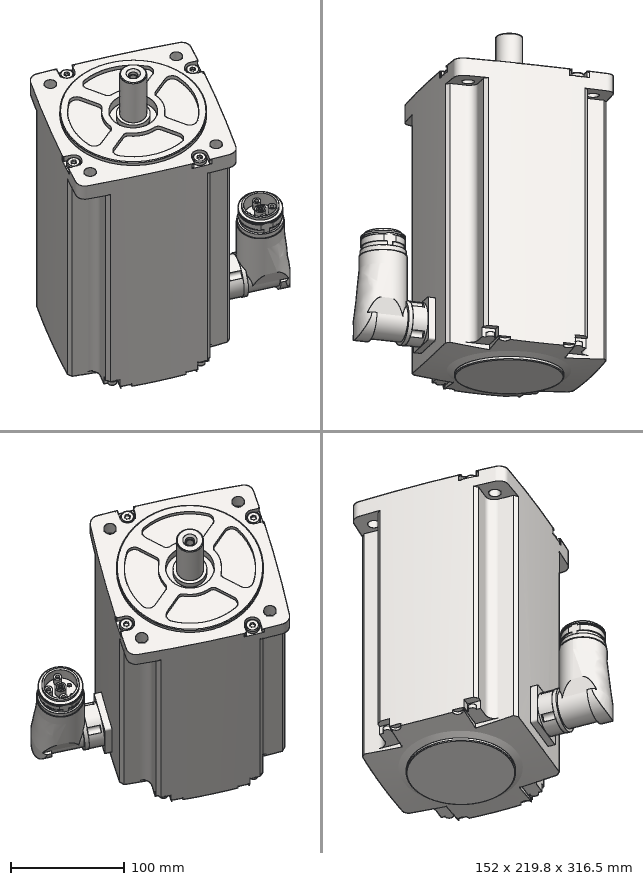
import cadquery as cq
import math


HALF_WIDTH = 76.0
CORNER_DROP = 1.7
CORNER_TANGENT = 65.5
FLANGE_THICKNESS = 16.3
BODY_BOTTOM = -255.7
PANEL_HALF = 45.0
NOTCH_WALL = 48.6
NOTCH_LIP = 72.0
NOTCH_RADIUS = 8.5

BOLT_CIRCLE = 165.0
BOLT_HOLE_DIA = 11.0

SCREW_OUT = 67.8
SCREW_ASIDE = 40.1
SCREW_HEAD_DIA = 12.6
SCREW_HEAD_TOP = -1.6
SCREW_HEAD_CHAMFER = 1.0
SCREW_SOCKET = 5.2
SCREW_SOCKET_DEPTH = 2.5
SCREW_POCKET_WIDTH = 14.4
SCREW_POCKET_DEPTH = 5.9
SCREW_RELIEF_WIDTH = 18.7
SCREW_RELIEF_DEPTH = 0.8
SCREW_RELIEF_TOP = -1.0

PILOT_DIA = 130.0
PILOT_HEIGHT = 4.0
PILOT_CHAMFER = 0.8
POCKET_OUTER_RADIUS = 58.0
POCKET_INNER_RADIUS = 28.0
POCKET_DEPTH = 4.0
POCKET_INNER_FILLET = 5.0
POCKET_OUTER_FILLET = 7.0
SPOKE_WIDTH = 12.6
SEAL_BORE_DIA = 43.0
SEAL_BORE_DEPTH = 9.0
COLLAR_DIA = 30.0
COLLAR_TOP = 1.0
SHAFT_DIA = 24.0
SHAFT_TOP = 50.0
SHAFT_CHAMFER = 0.8
CENTRE_SINK_DIA = 12.6
CENTRE_BORE_DIA = 8.4
CENTRE_BORE_DEPTH = 5.0
CENTRE_TAP_DIA = 6.65
CENTRE_TAP_DEPTH = 19.0

SHIELD_EDGE_Z = -258.6
CAP_RADIUS = 48.4
CAP_JOIN_Z = -263.6
SHIELD_KNEE_RADIUS = 55.0
SHIELD_KNEE_Z = -260.9
CAP_BOTTOM = -266.5
CAP_CHAMFER = 0.8
SHIELD_CUT_Y = 35.3
SHIELD_GROOVE_RADIUS = 5.0
SHIELD_GROOVE_Y = 30.0
TIE_POCKET_TOP = -247.2
TIE_POCKET_INNER_Y = 36.0
TIE_POCKET_DEPTH = 8.0
TIE_HEAD_DIA = 8.0
TIE_HEAD_Y = 41.0
TIE_HEAD_TOP = -251.6

CONNECTOR_Z = -227.0
CONNECTOR_BASE = 40.3
BASE_CORNER_RADIUS = 2.0
BASE_FACE_Y = 82.5
NUT_DIA = 39.6
NUT_COLLAR_DIA = 40.3
NUT_GROOVE_DIA = 7.0
NUT_GROOVE_START_Y = 84.5
COLLAR_START_Y = 96.5
COLLAR_END_Y = 100.5
PLUG_Y = 117.8
CONNECTOR_BACK_Y = 143.8
BARREL_RADIUS = 21.4
BARREL_TOP = -167.6
TAPER_TOP = -180.5
BACK_ROUND_Y = 131.0
LEG_RADIUS = 17.3
SHOULDER_Z = -212.7
HEEL_RADIUS = 20.2
HEEL_START_Y = 130.5
PLUG_RINGS = [
    (20.6, -167.6, -162.9),
    (18.8, -162.9, -158.8),
    (19.8, -158.8, -152.4),
    (19.2, -152.4, -150.8),
    (19.8, -150.8, -149.3),
    (16.6, -149.3, -146.4),
]
PLUG_BORE_RADIUS = 14.8
PLUG_BORE_DEPTH = 14.0
CENTRE_TUBE_DIA = 10.0
CENTRE_TUBE_BORE = 7.06
CENTRE_PIN_DIA = 4.0
CENTRE_PIN_HOLE = 2.0
PIN_CIRCLE_RADIUS = 10.8
SLEEVE_ANGLES = [0, 90, 180]
PLAIN_PIN_ANGLES = [240, 300]
PIN_SLEEVE_DIA = 7.0
PIN_HOLE_DIA = 3.6
PIN_HEIGHT = 9.0
PIN_HOLE_DEPTH = 4.0
PLUG_FLAT_X = 19.0
PLUG_FLAT_Z = (-158.8, -151.0)
PLUG_KEY_WIDTH = 5.0
PLUG_KEY_BOTTOM = -162.9

QUARTER_TURNS = [0, 90, 180, 270]
Z_AXIS = ((0, 0, 0), (0, 0, 1))

SIDE_RADIUS = (CORNER_TANGENT**2 + CORNER_DROP**2) / (2 * CORNER_DROP)


def side_distance(offset):
    """Distance of the bowed side surface from the axis at a given offset along the side."""
    return HALF_WIDTH - SIDE_RADIUS + math.sqrt(SIDE_RADIUS**2 - offset**2)


def turned(x, y, angle):
    """Point turned about the origin by an angle in degrees."""
    a = math.radians(angle)
    return (x * math.cos(a) - y * math.sin(a), x * math.sin(a) + y * math.cos(a))


def prism(sketch, bottom, top):
    """Extrude an XY outline between two heights."""
    return sketch.extrude(top - bottom).translate((0, 0, bottom))


def cylinder(x, y, radius, bottom, top):
    return cq.Workplane("XY", origin=(x, y, bottom)).circle(radius).extrude(top - bottom)


def y_cylinder(radius, start, end):
    """Cylinder along Y on the axis of the connector's horizontal leg."""
    return cq.Workplane("XZ", origin=(0, start, CONNECTOR_Z)).circle(radius).extrude(start - end)


def block(x_range, y_range, z_range):
    size = [end - start for start, end in (x_range, y_range, z_range)]
    box = cq.Workplane("XY").box(*size, centered=False)
    return box.translate((x_range[0], y_range[0], z_range[0]))


def flange_outline():
    """Square with bowed sides and rounded corners."""
    edge = side_distance(CORNER_TANGENT)
    corner_radius = edge - CORNER_TANGENT
    corner_mid = CORNER_TANGENT + corner_radius / math.sqrt(2)
    sketch = cq.Workplane("XY").moveTo(edge, -CORNER_TANGENT)
    for angle in QUARTER_TURNS:
        sketch = sketch.threePointArc(
            turned(HALF_WIDTH, 0, angle), turned(edge, CORNER_TANGENT, angle)
        ).threePointArc(turned(corner_mid, corner_mid, angle), turned(CORNER_TANGENT, edge, angle))
    return sketch.close()


def housing_outline():
    """Four bowed panels with an L-shaped notch at each corner."""
    edge = side_distance(PANEL_HALF)
    arc_end = NOTCH_WALL + NOTCH_RADIUS
    arc_mid = arc_end - NOTCH_RADIUS / math.sqrt(2)
    sketch = cq.Workplane("XY").moveTo(edge, -PANEL_HALF)
    for angle in QUARTER_TURNS:
        sketch = (
            sketch.threePointArc(turned(HALF_WIDTH, 0, angle), turned(edge, PANEL_HALF, angle))
            .lineTo(*turned(NOTCH_LIP, NOTCH_WALL, angle))
            .lineTo(*turned(arc_end, NOTCH_WALL, angle))
            .threePointArc(turned(arc_mid, arc_mid, angle), turned(NOTCH_WALL, arc_end, angle))
            .lineTo(*turned(NOTCH_WALL, NOTCH_LIP, angle))
            .lineTo(*turned(PANEL_HALF, edge, angle))
        )
    return sketch.close()


def make_flange():
    flange = prism(flange_outline(), -FLANGE_THICKNESS, 0)
    pitch = BOLT_CIRCLE / math.sqrt(2)
    holes = (
        cq.Workplane("XY", origin=(0, 0, -FLANGE_THICKNESS))
        .rect(pitch, pitch, forConstruction=True)
        .vertices()
        .circle(BOLT_HOLE_DIA / 2)
        .extrude(FLANGE_THICKNESS)
    )
    return flange.cut(holes)


def flange_screw_pocket():
    """Open-sided pocket in the +Y side, with a wider shallow relief in the side face."""
    half = SCREW_POCKET_WIDTH / 2
    slot = block(
        (-SCREW_ASIDE - half, -SCREW_ASIDE + half), (SCREW_OUT, HALF_WIDTH), (-SCREW_POCKET_DEPTH, 0)
    )
    seat = cylinder(-SCREW_ASIDE, SCREW_OUT, half, -SCREW_POCKET_DEPTH, 0)
    relief_half = SCREW_RELIEF_WIDTH / 2
    relief = block(
        (-SCREW_ASIDE - relief_half, -SCREW_ASIDE + relief_half),
        (side_distance(SCREW_ASIDE) - SCREW_RELIEF_DEPTH, HALF_WIDTH),
        (-SCREW_POCKET_DEPTH, SCREW_RELIEF_TOP),
    )
    return slot.union(seat).union(relief)


def flange_screw_head():
    head = cylinder(
        -SCREW_ASIDE, SCREW_OUT, SCREW_HEAD_DIA / 2, -SCREW_POCKET_DEPTH, SCREW_HEAD_TOP
    )
    head = head.faces(">Z").chamfer(SCREW_HEAD_CHAMFER)
    socket_plane = head.faces(">Z").workplane(origin=(-SCREW_ASIDE, SCREW_OUT, 0))
    return socket_plane.polygon(6, SCREW_SOCKET).cutBlind(-SCREW_SOCKET_DEPTH)


def pilot_pocket():
    """One of the four ring-sector pockets between the spokes, on the +X side."""
    ring = (
        cq.Workplane("XY", origin=(0, 0, PILOT_HEIGHT - POCKET_DEPTH))
        .circle(POCKET_OUTER_RADIUS)
        .circle(POCKET_INNER_RADIUS)
        .extrude(POCKET_DEPTH)
    )
    apex = SPOKE_WIDTH / math.sqrt(2)
    wedge = prism(
        cq.Workplane("XY").polyline(
            [(apex, 0), (apex + PILOT_DIA, PILOT_DIA), (apex + PILOT_DIA, -PILOT_DIA)]
        ).close(),
        PILOT_HEIGHT - POCKET_DEPTH,
        PILOT_HEIGHT,
    )
    pocket = ring.intersect(wedge)
    pocket = pocket.edges("|Z").edges(">X").fillet(POCKET_OUTER_FILLET)
    return pocket.edges("|Z").edges("<X").fillet(POCKET_INNER_FILLET)


def make_pilot():
    pilot = cylinder(0, 0, PILOT_DIA / 2, 0, PILOT_HEIGHT)
    return pilot.faces(">Z").edges().chamfer(PILOT_CHAMFER)


def make_shaft():
    seat = PILOT_HEIGHT - SEAL_BORE_DEPTH
    shaft = cylinder(0, 0, SHAFT_DIA / 2, seat, SHAFT_TOP).faces(">Z").chamfer(SHAFT_CHAMFER)
    collar = cylinder(0, 0, COLLAR_DIA / 2, seat, COLLAR_TOP)
    sink_depth = (CENTRE_SINK_DIA - CENTRE_BORE_DIA) / 2
    bore_bottom = SHAFT_TOP - CENTRE_BORE_DEPTH
    tap_bottom = SHAFT_TOP - CENTRE_TAP_DEPTH
    centre_hole = (
        cq.Workplane("XZ")
        .moveTo(0, SHAFT_TOP)
        .lineTo(CENTRE_SINK_DIA / 2, SHAFT_TOP)
        .lineTo(CENTRE_BORE_DIA / 2, SHAFT_TOP - sink_depth)
        .lineTo(CENTRE_BORE_DIA / 2, bore_bottom)
        .lineTo(CENTRE_TAP_DIA / 2, bore_bottom)
        .lineTo(CENTRE_TAP_DIA / 2, tap_bottom)
        .lineTo(0, tap_bottom - CENTRE_TAP_DIA / 2)
        .close()
        .revolve(360, (0, 0), (0, 1))
    )
    return shaft.union(collar).cut(centre_hole)


def make_end_shield():
    """Plate with the housing outline, thinned by a shallow cone to its rim, plus a round cap."""
    slope = (SHIELD_EDGE_Z - SHIELD_KNEE_Z) / (HALF_WIDTH - SHIELD_KNEE_RADIUS)
    rim = HALF_WIDTH + (BODY_BOTTOM - SHIELD_EDGE_Z) / slope
    cone = (
        cq.Workplane("XZ")
        .moveTo(0, BODY_BOTTOM)
        .lineTo(rim, BODY_BOTTOM)
        .lineTo(SHIELD_KNEE_RADIUS, SHIELD_KNEE_Z)
        .lineTo(CAP_RADIUS, CAP_JOIN_Z)
        .lineTo(0, CAP_JOIN_Z)
        .close()
        .revolve(360, (0, 0), (0, 1))
    )
    plate = prism(housing_outline(), CAP_BOTTOM, BODY_BOTTOM).intersect(cone)
    for x in (-HALF_WIDTH, HALF_WIDTH):
        for y in (-SHIELD_GROOVE_Y, SHIELD_GROOVE_Y):
            plate = plate.cut(cylinder(x, y, SHIELD_GROOVE_RADIUS, CAP_BOTTOM, BODY_BOTTOM))
    corner = block((NOTCH_WALL, HALF_WIDTH), (SHIELD_CUT_Y, HALF_WIDTH), (CAP_BOTTOM, BODY_BOTTOM))
    for cut in (corner, corner.mirror("YZ")):
        plate = plate.cut(cut).cut(cut.mirror("XZ"))
    cap = cylinder(0, 0, CAP_RADIUS, CAP_BOTTOM, BODY_BOTTOM)
    return plate.union(cap.faces("<Z").edges().chamfer(CAP_CHAMFER))


def add_tie_screws(body):
    """Corner pockets at the lower ends of the -X and +X panels, each with a screw head."""
    for x_side in (-1, 1):
        for y_side in (-1, 1):
            xs = sorted((x_side * HALF_WIDTH, x_side * (HALF_WIDTH - TIE_POCKET_DEPTH)))
            ys = sorted((y_side * TIE_POCKET_INNER_Y, y_side * NOTCH_WALL))
            body = body.cut(block(xs, ys, (BODY_BOTTOM, TIE_POCKET_TOP)))
            x = x_side * (HALF_WIDTH - TIE_POCKET_DEPTH)
            y = y_side * TIE_HEAD_Y
            body = body.union(cylinder(x, y, TIE_HEAD_DIA / 2, BODY_BOTTOM, TIE_HEAD_TOP))
    return body


def make_connector_base():
    base = block(
        (-CONNECTOR_BASE / 2, CONNECTOR_BASE / 2),
        (HALF_WIDTH - CORNER_DROP, BASE_FACE_Y),
        (CONNECTOR_Z - CONNECTOR_BASE / 2, CONNECTOR_Z + CONNECTOR_BASE / 2),
    )
    base = base.edges("|Y").fillet(BASE_CORNER_RADIUS)
    nut = y_cylinder(NUT_DIA / 2, BASE_FACE_Y, COLLAR_START_Y)
    collar = y_cylinder(NUT_COLLAR_DIA / 2, COLLAR_START_Y, COLLAR_END_Y)
    groove = y_cylinder(NUT_GROOVE_DIA / 2, NUT_GROOVE_START_Y, COLLAR_START_Y)
    for angle in QUARTER_TURNS:
        x, z = turned(NUT_DIA / 2, 0, angle + 45)
        nut = nut.cut(groove.translate((x, 0, z)))
    return base.union(nut).union(collar)


def make_elbow():
    """Upright barrel leaning out at the back, narrowed below to the width of the horizontal leg."""
    foot = CONNECTOR_Z - HEEL_RADIUS
    barrel = cylinder(0, PLUG_Y, BARREL_RADIUS, TAPER_TOP, BARREL_TOP)
    front_half = cylinder(0, PLUG_Y, BARREL_RADIUS, CONNECTOR_Z, TAPER_TOP).cut(
        block(
            (-BARREL_RADIUS, BARREL_RADIUS), (PLUG_Y, CONNECTOR_BACK_Y), (CONNECTOR_Z, TAPER_TOP)
        )
    )
    back_depth = CONNECTOR_BACK_Y - BACK_ROUND_Y
    lean = (
        cq.Workplane("XY", origin=(0, 0, CONNECTOR_Z))
        .moveTo(BARREL_RADIUS, BACK_ROUND_Y)
        .ellipseArc(BARREL_RADIUS, back_depth, 0, 180)
        .close()
        .workplane(offset=TAPER_TOP - CONNECTOR_Z)
        .moveTo(BARREL_RADIUS, PLUG_Y)
        .ellipseArc(BARREL_RADIUS, BARREL_RADIUS, 0, 180)
        .close()
        .loft(ruled=True)
    )
    flank = (
        cq.Workplane("YZ", origin=(-BARREL_RADIUS, 0, 0))
        .polyline([(PLUG_Y, TAPER_TOP), (PLUG_Y, CONNECTOR_Z), (BACK_ROUND_Y, CONNECTOR_Z)])
        .close()
        .extrude(2 * BARREL_RADIUS)
    )
    back_plan = (
        cq.Workplane("XY", origin=(0, BACK_ROUND_Y, foot))
        .ellipse(BARREL_RADIUS, back_depth)
        .extrude(HEEL_RADIUS)
        .union(block((-BARREL_RADIUS, BARREL_RADIUS), (PLUG_Y, BACK_ROUND_Y), (foot, CONNECTOR_Z)))
    )
    upright = barrel.union(front_half).union(flank).union(lean).union(back_plan)

    front_profile = (
        cq.Workplane("XZ", origin=(0, COLLAR_START_Y, 0))
        .moveTo(-BARREL_RADIUS, BARREL_TOP)
        .lineTo(-BARREL_RADIUS, SHOULDER_Z)
        .lineTo(-LEG_RADIUS, CONNECTOR_Z)
        .threePointArc((0, CONNECTOR_Z - LEG_RADIUS), (LEG_RADIUS, CONNECTOR_Z))
        .lineTo(BARREL_RADIUS, SHOULDER_Z)
        .lineTo(BARREL_RADIUS, BARREL_TOP)
        .close()
        .extrude(COLLAR_START_Y - CONNECTOR_BACK_Y)
    )
    elbow = upright.intersect(front_profile)
    leg = y_cylinder(LEG_RADIUS, COLLAR_START_Y, PLUG_Y)
    heel = y_cylinder(HEEL_RADIUS, HEEL_START_Y, CONNECTOR_BACK_Y)
    heel = heel.intersect(back_plan)
    return elbow.union(leg).union(heel)


def make_plug():
    """Stepped rings above the barrel, with a recessed contact insert."""
    top = PLUG_RINGS[-1][2]
    floor = top - PLUG_BORE_DEPTH
    plug = cq.Workplane("XY")
    for radius, bottom, ring_top in PLUG_RINGS:
        plug = plug.union(cylinder(0, PLUG_Y, radius, bottom, ring_top))
    half_key = PLUG_KEY_WIDTH / 2
    for angle in (0, 180):
        key = block((0, PLUG_FLAT_X), (-half_key, half_key), (PLUG_KEY_BOTTOM, PLUG_FLAT_Z[0]))
        flat = block((PLUG_FLAT_X, 2 * PLUG_FLAT_X), (-PLUG_FLAT_X, PLUG_FLAT_X), PLUG_FLAT_Z)
        plug = plug.union(key.rotate(*Z_AXIS, angle).translate((0, PLUG_Y, 0)))
        plug = plug.cut(flat.rotate(*Z_AXIS, angle).translate((0, PLUG_Y, 0)))
    plug = plug.cut(cylinder(0, PLUG_Y, PLUG_BORE_RADIUS, floor, top))
    pin_top = floor + PIN_HEIGHT
    tube = cylinder(0, PLUG_Y, CENTRE_TUBE_DIA / 2, floor, pin_top)
    tube = tube.cut(cylinder(0, PLUG_Y, CENTRE_TUBE_BORE / 2, floor, pin_top))
    pin = cylinder(0, PLUG_Y, CENTRE_PIN_DIA / 2, floor, pin_top)
    pin = pin.cut(cylinder(0, PLUG_Y, CENTRE_PIN_HOLE / 2, floor, pin_top))
    plug = plug.union(tube).union(pin)
    for angle in SLEEVE_ANGLES:
        x, y = turned(PIN_CIRCLE_RADIUS, 0, angle)
        sleeve = cylinder(x, PLUG_Y + y, PIN_SLEEVE_DIA / 2, floor, pin_top)
        hole = cylinder(x, PLUG_Y + y, PIN_HOLE_DIA / 2, pin_top - PIN_HOLE_DEPTH, pin_top)
        plug = plug.union(sleeve).cut(hole)
    for angle in PLAIN_PIN_ANGLES:
        x, y = turned(PIN_CIRCLE_RADIUS, 0, angle)
        plug = plug.cut(cylinder(x, PLUG_Y + y, PIN_HOLE_DIA / 2, floor - PIN_HOLE_DEPTH, floor))
    return plug


def make_motor():
    body = prism(housing_outline(), BODY_BOTTOM, -FLANGE_THICKNESS)
    body = add_tie_screws(body.union(make_end_shield()))
    front = make_flange().union(make_pilot())
    pocket = pilot_pocket()
    screw_pocket = flange_screw_pocket()
    screw_head = flange_screw_head()
    for angle in QUARTER_TURNS:
        front = front.cut(pocket.rotate(*Z_AXIS, angle))
        front = front.cut(screw_pocket.rotate(*Z_AXIS, angle))
        front = front.union(screw_head.rotate(*Z_AXIS, angle))
    seal_bore = cylinder(0, 0, SEAL_BORE_DIA / 2, PILOT_HEIGHT - SEAL_BORE_DEPTH, PILOT_HEIGHT)
    front = front.cut(seal_bore).union(make_shaft())
    connector = make_connector_base().union(make_elbow()).union(make_plug())
    return body.union(front).union(connector)


result = make_motor()